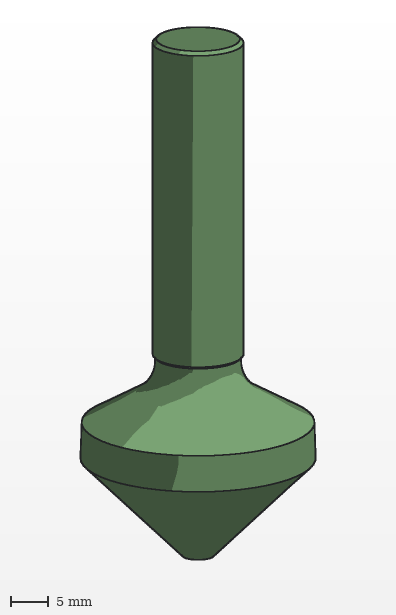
import cadquery as cq
import math

total_height = 71.0
rim_height = 4.9
shank_bottom = 27.7

rim_radius = 31.0 / 2
rim_top_radius = 15.35
tip_radius = 4.2 / 2
shank_radius = 12.0 / 2
neck_radius = 5.7

cone_angle = math.radians(45)
shoulder_angle = math.radians(30)
neck_fillet_radius = 5.0
end_chamfer = 0.5

rim_bottom = (rim_radius - tip_radius) * math.tan(cone_angle)
rim_top = rim_bottom + rim_height

fillet_sweep = math.pi / 2 - shoulder_angle
fillet_center_radius = neck_radius + neck_fillet_radius
shoulder_end_radius = fillet_center_radius - neck_fillet_radius * math.cos(fillet_sweep)
shoulder_end = rim_top + (rim_top_radius - shoulder_end_radius) * math.tan(shoulder_angle)
neck_bottom = shoulder_end + neck_fillet_radius * math.sin(fillet_sweep)
fillet_middle = (
    fillet_center_radius - neck_fillet_radius * math.cos(fillet_sweep / 2),
    neck_bottom - neck_fillet_radius * math.sin(fillet_sweep / 2),
)

neck_top = shank_bottom - (shank_radius - neck_radius)

profile = (
    cq.Workplane("XZ")
    .moveTo(0, 0)
    .lineTo(tip_radius, 0)
    .lineTo(rim_radius, rim_bottom)
    .lineTo(rim_top_radius, rim_top)
    .lineTo(shoulder_end_radius, shoulder_end)
    .threePointArc(fillet_middle, (neck_radius, neck_bottom))
    .lineTo(neck_radius, neck_top)
    .lineTo(shank_radius, shank_bottom)
    .lineTo(shank_radius, total_height - end_chamfer)
    .lineTo(shank_radius - end_chamfer, total_height)
    .lineTo(0, total_height)
    .close()
)

result = profile.revolve(360, (0, 0, 0), (0, 1, 0))